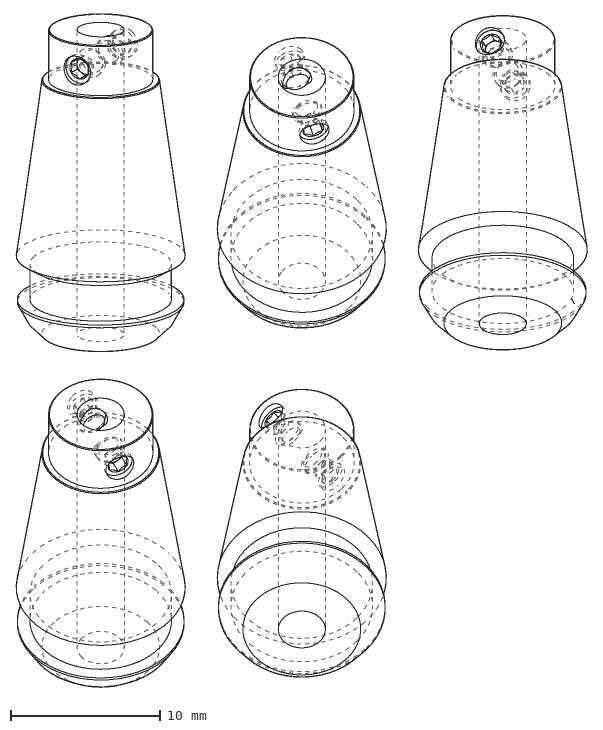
import cadquery as cq
import math

height = 21.5
cap_radius = 7.0 / 2
cone_top_radius = 3.95
cone_base_radius = 11.35 / 2
neck_radius = 9.5 / 2
flange_radius = 11.2 / 2
foot_break_radius = 4.9
foot_radius = 3.95
base_radius = 5.6 / 2
bore_radius = 3.15 / 2

foot_level = 0.06
foot_break_level = 1.0
flange_edge_level = 2.28
flange_top_level = 2.47
neck_top_level = 4.99
cone_base_level = 5.55
shoulder_level = 17.97
edge_break = 0.06

screw_level = 19.6
screw_radius = 2.02 / 2
screw_outer_reach = 3.07
screw_tip_reach = 1.18
screw_tip_radius = 0.77
screw_tip_length = 0.4
socket_across_flats = 1.25
socket_depth = 0.85
socket_mouth_radius = socket_across_flats / math.sqrt(3)
socket_drill_angle = 120.0


def turned_body():
    """Body of revolution with its axial through bore."""
    outline = [
        (bore_radius, 0),
        (base_radius, 0),
        (foot_radius, foot_level),
        (foot_break_radius, foot_break_level),
        (flange_radius, flange_edge_level),
        (flange_radius, flange_top_level),
        (neck_radius, flange_top_level),
        (neck_radius, neck_top_level),
        (cone_base_radius, cone_base_level),
        (cone_top_radius, shoulder_level - edge_break),
        (cone_top_radius - edge_break, shoulder_level),
        (cap_radius, shoulder_level),
        (cap_radius, height - edge_break),
        (cap_radius - edge_break, height),
        (bore_radius, height),
    ]
    return cq.Workplane("XZ").polyline(outline).close().revolve(360, (0, 0), (0, 1))


def screw_plane(reach):
    """Plane on the -Y side at the given distance from the axis, facing outward."""
    return cq.Workplane("XZ", origin=(0, -reach, screw_level))


def screw_hole():
    """Radial hole from the bore to the outside of the cap."""
    return screw_plane(0).circle(screw_radius).extrude(cap_radius)


def set_screw():
    """Set screw with a chamfered flat tip and a hexagonal socket."""
    length = screw_outer_reach - screw_tip_reach
    screw = screw_plane(screw_tip_reach).circle(screw_radius).extrude(length)
    screw = screw.faces(">Y").chamfer(screw_tip_length, screw_radius - screw_tip_radius)
    socket = (
        screw_plane(screw_outer_reach)
        .transformed(rotate=(0, 0, 90))
        .polygon(6, 2 * socket_mouth_radius)
        .extrude(-socket_depth)
    )
    drill_radius = socket_across_flats / 2
    drill_depth = drill_radius / math.tan(math.radians(socket_drill_angle / 2))
    drill_point = cq.Solid.makeCone(
        drill_radius,
        0,
        drill_depth,
        pnt=cq.Vector(0, socket_depth - screw_outer_reach, screw_level),
        dir=cq.Vector(0, 1, 0),
    )
    mouth = cq.Solid.makeCone(
        socket_mouth_radius,
        0,
        socket_mouth_radius,
        pnt=cq.Vector(0, -screw_outer_reach, screw_level),
        dir=cq.Vector(0, 1, 0),
    )
    return screw.cut(socket).cut(cq.Workplane(drill_point)).cut(cq.Workplane(mouth))


body = turned_body()
for side_angle in (0, 180):
    body = body.cut(screw_hole().rotate((0, 0, 0), (0, 0, 1), side_angle))
    body = body.union(set_screw().rotate((0, 0, 0), (0, 0, 1), side_angle))

result = body